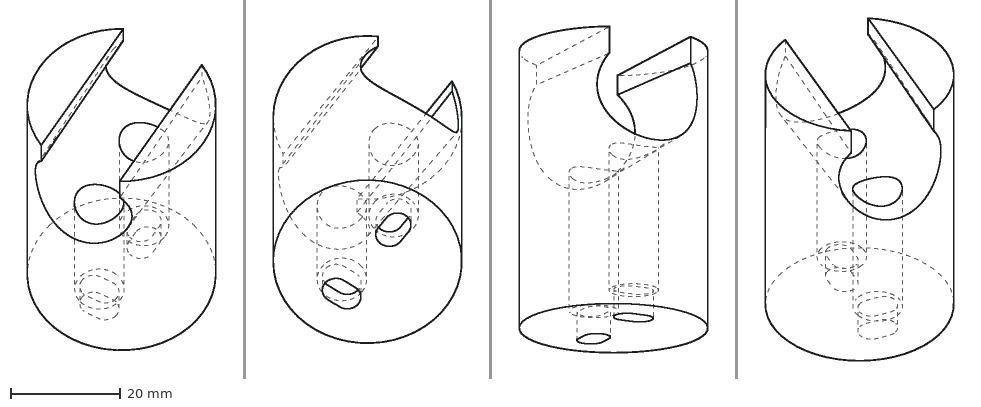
import cadquery as cq

height = 52.5
body_diameter = 34.5
body_radius = body_diameter / 2

cradle_height = 41.6
front_radius = 10.1
back_radius = 11.0
slot_width = 16.5

hole_offset = 8.25
counterbore_diameter = 9.05
counterbore_floor = 5.25
oblong_length = 7.5
oblong_width = 5.0


def tapered_cradle():
    """Cone frustum along Y, spanning the body."""
    return (
        cq.Workplane("XZ", origin=(0, -body_radius, cradle_height))
        .circle(front_radius)
        .workplane(offset=-body_diameter)
        .circle(back_radius)
        .loft(ruled=True)
    )


def entry_slot():
    """Straight-sided opening from the cradle axis to the top face."""
    return (
        cq.Workplane("XY")
        .workplane(offset=cradle_height)
        .rect(slot_width, body_diameter)
        .extrude(height - cradle_height)
    )


def screw_hole(y, angle):
    """Oblong through hole with a round counterbore open to the cradle."""
    base = cq.Workplane("XY").center(0, y)
    oblong = base.slot2D(oblong_length, oblong_width, angle).extrude(cradle_height)
    counterbore = (
        base.workplane(offset=counterbore_floor)
        .circle(counterbore_diameter / 2)
        .extrude(cradle_height - counterbore_floor)
    )
    return oblong.union(counterbore)


result = cq.Workplane("XY").circle(body_radius).extrude(height)
result = result.cut(tapered_cradle()).cut(entry_slot())
for y, angle in ((-hole_offset, 0), (hole_offset, 90)):
    result = result.cut(screw_hole(y, angle))